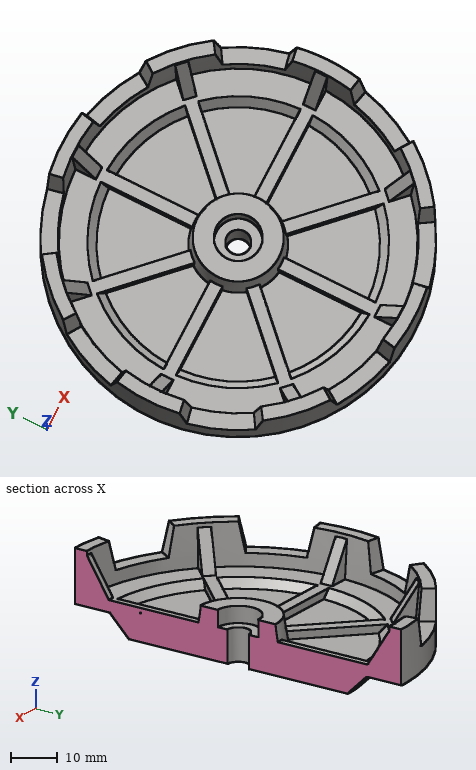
import cadquery as cq
import math

total_height = 18.0
rim_bottom_z = 5.0
pocket_floor_z = 6.0
ledge_z = 8.0
notch_floor_z = 11.0
hub_top_z = 11.95

rim_radius = 42.4
cone_base_radius = 28.4
cone_top_radius = cone_base_radius + rim_bottom_z
wall_bottom_radius = 38.4
wall_top_radius = 39.3
pocket_top_radius = 32.3
pocket_floor_radius = pocket_top_radius - (ledge_z - pocket_floor_z)

hub_base_radius = 10.7
hub_top_radius = 9.75
bore_diameter = 5.5
counterbore_diameter = 10.4
counterbore_depth = 4.0

tooth_count = 8
spacing_angle = 360.0 / tooth_count
tooth_top_half_angle = 10.3
tooth_base_half_angle = 12.5
tooth_twist = -0.5
rib_width = 3.0
gusset_foot_radius = 33.5
gusset_top_z = 17.1

cutter_inner_radius = 35.6
cutter_outer_radius = 45.8


def make_body():
    """Revolve the dish: conical base, rim wall, ledge and recessed floor."""
    profile = [
        (0, 0),
        (cone_base_radius, 0),
        (cone_top_radius, rim_bottom_z),
        (rim_radius, rim_bottom_z),
        (rim_radius, total_height),
        (wall_top_radius, total_height),
        (wall_bottom_radius, ledge_z),
        (pocket_top_radius, ledge_z),
        (pocket_floor_radius, pocket_floor_z),
        (0, pocket_floor_z),
    ]
    return cq.Workplane("XZ").polyline(profile).close().revolve(360, (0, 0), (0, 1))


def notch_section(radius):
    """Corners of the notch between two teeth, on a plane at this radius from the axis."""
    base_half_angle = spacing_angle / 2 - tooth_base_half_angle
    top_half_angle = spacing_angle / 2 - tooth_top_half_angle
    base_half_width = radius * math.tan(math.radians(base_half_angle))
    top_half_width = radius * math.tan(math.radians(top_half_angle))
    return [
        (-base_half_width, notch_floor_z),
        (base_half_width, notch_floor_z),
        (top_half_width, total_height),
        (-top_half_width, total_height),
    ]


def make_notch_cutter():
    """Loft a notch outward along +X so that its sides point at the axis."""
    return (
        cq.Workplane("YZ", origin=(cutter_inner_radius, 0, 0))
        .polyline(notch_section(cutter_inner_radius))
        .close()
        .workplane(offset=cutter_outer_radius - cutter_inner_radius)
        .polyline(notch_section(cutter_outer_radius))
        .close()
        .loft(ruled=True)
    )


def make_rib():
    """Spoke along +X from the axis to the ledge, level with the ledge."""
    rib_height = ledge_z - pocket_floor_z
    return cq.Workplane("XY", origin=(0, 0, pocket_floor_z)).box(
        pocket_top_radius, rib_width, rib_height, centered=(False, True, False)
    )


def make_gusset():
    """Sloped web along +X that braces a tooth from the ledge."""
    buried_radius = (wall_top_radius + rim_radius) / 2
    profile = [
        (gusset_foot_radius, ledge_z),
        (wall_top_radius, gusset_top_z),
        (buried_radius, gusset_top_z),
        (buried_radius, ledge_z),
    ]
    return cq.Workplane("XZ").polyline(profile).close().extrude(rib_width / 2, both=True)


def make_hub():
    """Tapered central boss standing on the recessed floor."""
    return (
        cq.Workplane("XY", origin=(0, 0, pocket_floor_z))
        .circle(hub_base_radius)
        .workplane(offset=hub_top_z - pocket_floor_z)
        .circle(hub_top_radius)
        .loft()
    )


def around_axis(shape, angle):
    return shape.rotate((0, 0, 0), (0, 0, 1), angle)


result = make_body()

notch_cutter = make_notch_cutter()
for i in range(tooth_count):
    result = result.cut(around_axis(notch_cutter, (i + 0.5) * spacing_angle + tooth_twist))

spoke = make_rib()
gusset = make_gusset()
for i in range(tooth_count):
    result = result.union(around_axis(spoke, i * spacing_angle))
    result = result.union(around_axis(gusset, i * spacing_angle))

result = result.union(make_hub())
hub_face = cq.Workplane("XY", origin=(0, 0, hub_top_z))
result = result.cut(hub_face.circle(bore_diameter / 2).extrude(-hub_top_z))
result = result.cut(hub_face.circle(counterbore_diameter / 2).extrude(-counterbore_depth))